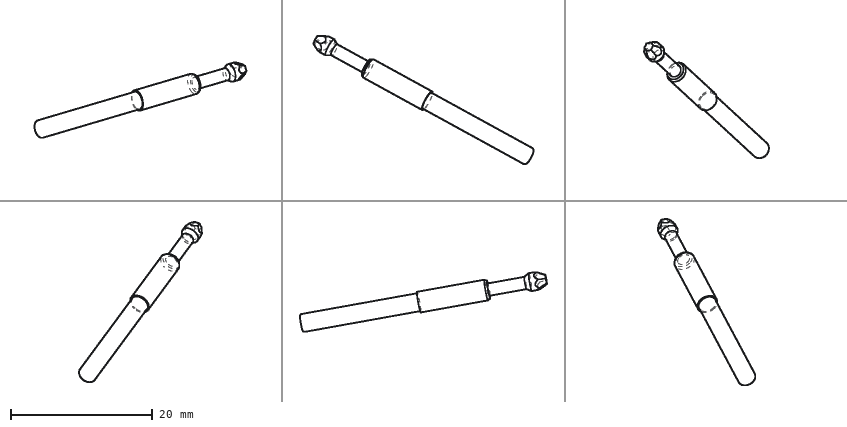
import cadquery as cq
import math


total_length = 35.3
barrel_front_from_tip = 8.3
barrel_back_from_tip = 18.35
head_straight_end_from_tip = 2.3
head_back_from_tip = 3.0

barrel_radius = 1.5
tail_radius = 1.3
head_radius = 1.3
neck_radius = 0.9

barrel_chamfer_length = 0.35
barrel_chamfer_depth = 0.2
tail_fillet_radius = 0.35

flute_count = 6
crown_tip_radius = 0.73
crown_ridge_slope = 0.54
flute_valley_ratio = 0.82

barrel_front_y = total_length - barrel_front_from_tip
barrel_back_y = total_length - barrel_back_from_tip
head_straight_end_y = total_length - head_straight_end_from_tip
head_back_y = total_length - head_back_from_tip


def make_turned_body():
    """Tail, barrel, neck and uncut head, revolved from a half profile about Y."""
    profile = (
        cq.Workplane("XY")
        .lineTo(tail_radius - tail_fillet_radius, 0)
        .radiusArc((tail_radius, tail_fillet_radius), -tail_fillet_radius)
        .lineTo(tail_radius, barrel_back_y)
        .lineTo(barrel_radius, barrel_back_y)
        .lineTo(barrel_radius, barrel_front_y - barrel_chamfer_length)
        .lineTo(barrel_radius - barrel_chamfer_depth, barrel_front_y)
        .lineTo(neck_radius, barrel_front_y)
        .lineTo(neck_radius, head_back_y)
        .lineTo(head_radius, head_straight_end_y)
        .lineTo(head_radius, total_length)
        .lineTo(0, total_length)
        .close()
    )
    return profile.revolve(360, (0, 0, 0), (0, 1, 0))


def star_points(ridge_radius):
    """Corners of the crown's cross-section, alternating ridge and valley; a ridge lies on +X."""
    points = []
    for corner in range(2 * flute_count):
        is_ridge = corner % 2 == 0
        radius = ridge_radius if is_ridge else ridge_radius * flute_valley_ratio
        angle = corner * math.pi / flute_count
        points.append((radius * math.cos(angle), radius * math.sin(angle)))
    return points


def make_crown_envelope():
    """Fluted pyramid that widens backward from the tip until it clears the head radius."""
    depth = head_back_from_tip
    return (
        cq.Workplane("XZ", origin=(0, total_length, 0))
        .polyline(star_points(crown_tip_radius))
        .close()
        .workplane(offset=depth)
        .polyline(star_points(crown_tip_radius + crown_ridge_slope * depth))
        .close()
        .loft(ruled=True)
    )


def make_crown_waste():
    """Material outside the crown's facets, to be cut from the head."""
    blank = (
        cq.Workplane("XZ", origin=(0, total_length, 0))
        .circle(barrel_radius)
        .extrude(head_back_from_tip)
    )
    return blank.cut(make_crown_envelope())


result = make_turned_body().cut(make_crown_waste())